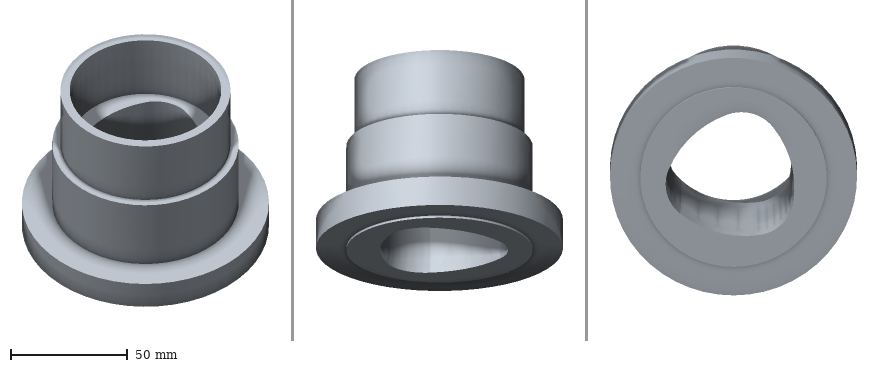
import cadquery as cq
import math

contact_diameter = 80.0
contact_height = 1.0
flange_diameter = 106.0
flange_top = 14.0
shoulder_diameter = 80.03
shoulder_top = 47.5
neck_diameter = 73.0
total_height = 78.0

counterbore_diameter = 65.0
counterbore_floor = shoulder_top

lobe_count = 3
lobe_reach = 28.3
flank_reach = 24.35
lobe_radius = 15.9
lobe_pitch = 360.0 / lobe_count
first_lobe_angle = 90.0
wall_slope = 1.0 / 40.0


def disc(diameter, bottom, top):
    return cq.Workplane("XY").workplane(offset=bottom).circle(diameter / 2).extrude(top - bottom)


def polar(radius, angle):
    return (radius * math.cos(math.radians(angle)), radius * math.sin(math.radians(angle)))


def lobed_outline(z, growth):
    """Closed outline of lobe arcs joined tangentially to flank arcs, offset outward by growth."""
    lobe_center = lobe_reach - lobe_radius
    flank_radius = (
        (lobe_radius**2 - flank_reach**2 + lobe_center * flank_reach - lobe_center**2)
        / (lobe_center + 2 * lobe_radius - 2 * flank_reach)
    )
    flank_center = flank_radius - flank_reach
    half_pitch = lobe_pitch / 2

    center_x, center_y = polar(flank_center, half_pitch + 180)
    tangent_angle = math.atan2(-center_y, lobe_center - center_x)
    joint_x = lobe_center + (lobe_radius + growth) * math.cos(tangent_angle)
    joint_y = (lobe_radius + growth) * math.sin(tangent_angle)
    joint_distance = math.hypot(joint_x, joint_y)
    joint_angle = math.degrees(math.atan2(joint_y, joint_x))

    outline = cq.Workplane("XY").workplane(offset=z)
    outline = outline.moveTo(*polar(joint_distance, first_lobe_angle - joint_angle))
    for index in range(lobe_count):
        lobe_angle = first_lobe_angle + index * lobe_pitch
        next_lobe_angle = lobe_angle + lobe_pitch
        outline = outline.threePointArc(
            polar(lobe_reach + growth, lobe_angle),
            polar(joint_distance, lobe_angle + joint_angle),
        )
        outline = outline.threePointArc(
            polar(flank_reach + growth, lobe_angle + half_pitch),
            polar(joint_distance, next_lobe_angle - joint_angle),
        )
    return outline.close().val()


def sleeve_body():
    body = disc(contact_diameter, 0, contact_height)
    body = body.union(disc(flange_diameter, contact_height, flange_top))
    body = body.union(disc(shoulder_diameter, flange_top, shoulder_top))
    return body.union(disc(neck_diameter, shoulder_top, total_height))


def lobed_bore():
    wide_end = lobed_outline(0, counterbore_floor * wall_slope)
    narrow_end = lobed_outline(counterbore_floor, 0)
    return cq.Workplane(cq.Solid.makeLoft([wide_end, narrow_end], True))


counterbore = disc(counterbore_diameter, counterbore_floor, total_height)
result = sleeve_body().cut(counterbore).cut(lobed_bore())